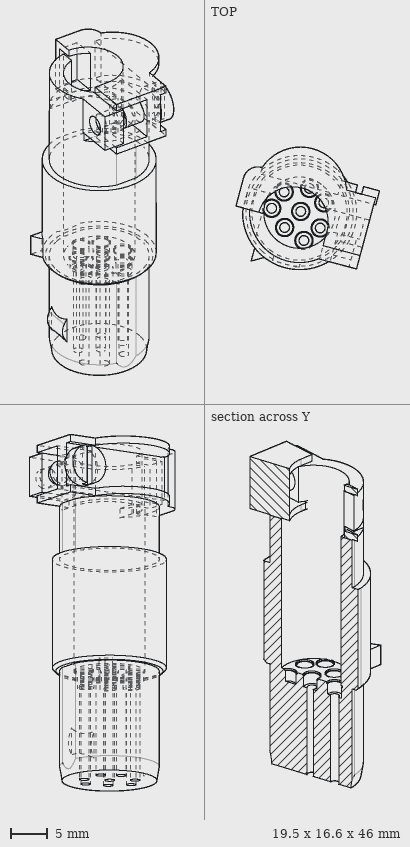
import cadquery as cq
import math

TURN = -15

TOTAL_HEIGHT = 45.95
COLLAR_BOTTOM = 15.15
COLLAR_TOP = 30.7
SHELF_HEIGHT = 37.95
SHELL_TOP = 44.65

BARREL_RADIUS = 6.75
TIP_RADIUS = 6.45
TIP_HEIGHT = 1.95
COLLAR_RADIUS = 7.7
COLLAR_CHAMFER = 0.45
BARREL_FLAT = 6.55
COLLAR_FLAT = 7.5
BORE_RADIUS = 4.82
BORE_FLOOR = COLLAR_BOTTOM

KEY_ANGLE = 225 - TURN
KEY_TIP = 9.3
KEY_BASE = 7.35
KEY_HALF_WIDTH = 1.1
KEY_BOTTOM = 15.75
KEY_HEIGHT = 3.0
LATCH_HEIGHT = 6.45
LATCH_WIDTH = 3.68
LATCH_TIP = 7.2
LATCH_RADIUS = 2.3
LATCH_FLARE = 30
LATCH_DEPTH = 1.4

CONTACT_PLACES = [
    (0.25, 0), (-2.85, 0),
    (0.5, 3.45), (0.5, -3.45),
    (-2.25, 3.1), (-2.25, -3.1),
    (3.25, 1.4), (3.25, -1.4),
]
CONTACT_HOLE_RADIUS = 0.65
CONTACT_SEAT_RADIUS = 1.1
CONTACT_RIM_RADIUS = 1.25
CONTACT_RIM_DEPTH = 0.25
CONTACT_SEAT_DEPTH = 1.85

SHELL_BACK = -1.4
SLOT_TOP = 39.25
SLOT_LEFT = -4.85
LUG_FRONT = -5.38
LUG_THICKNESS = 3.05
LUG_RIGHT = 9.4

PLATE = 1.0
CLAMP_LEFT = -8.55
CLAMP_RIGHT = LUG_RIGHT
CLAMP_BACK = 4.6
CLAMP_LEFT_FRONT = SHELL_BACK
CLAMP_RIGHT_FRONT = -3.5
ARCH_X = -0.55
DOME_Y = 2.57
DOME_RADIUS = 6.25
OPENING_Y = -1.45
OPENING_RADIUS = 4.8
BUMP_RADIUS = 2.0
WEB_INNER = 1.45
WEB_OUTER = 3.68

SCREW_X = 7.05
SCREW_RADIUS = 1.35
SCREW_SHANK_RADIUS = 1.7
SCREW_HEAD_RADIUS = 2.65
SCREW_HEAD_END = 5.65
SCREW_SLOT_WIDTH = 0.85
SCREW_SLOT_DEPTH = 1.1
SCREW_RECESS = 1.0

SLOT_RIGHT = ARCH_X + OPENING_RADIUS
LUG_BOTTOM = SLOT_TOP
DOME_HALF_WIDTH = math.sqrt(DOME_RADIUS**2 - (CLAMP_BACK - DOME_Y) ** 2)
SCREW_Z = (LUG_BOTTOM + SHELL_TOP) / 2
FAR = 27.55


def block(x0, x1, y0, y1, z0, z1):
    """A box between the given planes."""
    return cq.Workplane("XY").box(x1 - x0, y1 - y0, z1 - z0, centered=False).translate((x0, y0, z0))


def cylinder_along_y(radius, y0, y1):
    """A cylinder on the screw's axis."""
    plane = cq.Workplane("XZ", origin=(SCREW_X, y1, SCREW_Z))
    return plane.circle(radius).extrude(y1 - y0)


def make_barrel():
    """The round barrel with its collar; the barrel has two flats, the collar one."""
    barrel = (
        cq.Workplane("XZ")
        .moveTo(0, 0)
        .lineTo(-TIP_RADIUS, 0)
        .lineTo(-BARREL_RADIUS, TIP_HEIGHT)
        .lineTo(-BARREL_RADIUS, SHELL_TOP)
        .lineTo(0, SHELL_TOP)
        .close()
        .revolve(360, (0, 0, 0), (0, 1, 0))
    )
    for x0, x1 in [(-FAR, -BARREL_FLAT), (BARREL_FLAT, FAR)]:
        barrel = barrel.cut(block(x0, x1, -FAR, FAR, 0, SHELF_HEIGHT))
    collar = (
        cq.Workplane("XY", origin=(0, 0, COLLAR_BOTTOM))
        .circle(COLLAR_RADIUS)
        .extrude(COLLAR_TOP - COLLAR_BOTTOM)
        .faces("<Z")
        .chamfer(COLLAR_CHAMFER)
    )
    collar = collar.cut(block(-FAR, -COLLAR_FLAT, -FAR, FAR, COLLAR_BOTTOM, COLLAR_TOP))
    return barrel.union(collar)


def make_key():
    """The pointed key on the collar."""
    return (
        cq.Workplane("XY", origin=(0, 0, KEY_BOTTOM))
        .polyline([(KEY_TIP, 0), (KEY_BASE, KEY_HALF_WIDTH), (KEY_BASE, -KEY_HALF_WIDTH)])
        .close()
        .extrude(KEY_HEIGHT)
        .rotate((0, 0, 0), (0, 0, 1), KEY_ANGLE)
    )


def make_latch():
    """The rounded latch low on the front, its sides flaring into the barrel."""
    flare = math.radians(LATCH_FLARE)
    arc_half = LATCH_RADIUS * math.sin(flare)
    arc_y = -LATCH_TIP + LATCH_RADIUS * (1 - math.cos(flare))
    root_y = -LATCH_TIP + LATCH_DEPTH
    root_half = arc_half + (root_y - arc_y) / math.tan(flare)
    return (
        cq.Workplane("YZ", origin=(-LATCH_WIDTH / 2, 0, LATCH_HEIGHT))
        .moveTo(root_y, -root_half)
        .lineTo(arc_y, -arc_half)
        .threePointArc((-LATCH_TIP, 0), (arc_y, arc_half))
        .lineTo(root_y, root_half)
        .close()
        .extrude(LATCH_WIDTH)
    )


def make_contact_holes():
    """Stepped through holes in the floor of the bore."""
    holes = cq.Workplane("XY")
    steps = [
        (CONTACT_HOLE_RADIUS, BORE_FLOOR),
        (CONTACT_SEAT_RADIUS, CONTACT_SEAT_DEPTH),
        (CONTACT_RIM_RADIUS, CONTACT_RIM_DEPTH),
    ]
    for radius, depth in steps:
        floor = cq.Workplane("XY", origin=(0, 0, BORE_FLOOR))
        holes = holes.union(floor.pushPoints(CONTACT_PLACES).circle(radius).extrude(-depth))
    return holes.rotate((0, 0, 0), (0, 0, 1), KEY_ANGLE + 180)


def make_housing():
    lug = block(0, LUG_RIGHT, LUG_FRONT, LUG_FRONT + LUG_THICKNESS, LUG_BOTTOM, SHELL_TOP)
    housing = make_barrel()
    housing = housing.cut(block(-FAR, FAR, SHELL_BACK, FAR, SHELF_HEIGHT, TOTAL_HEIGHT))
    housing = housing.cut(block(-FAR, SLOT_LEFT, -FAR, FAR, SHELF_HEIGHT, SLOT_TOP))
    housing = housing.cut(block(SLOT_RIGHT, FAR, -FAR, FAR, SHELF_HEIGHT, SLOT_TOP))
    housing = housing.union(lug).union(make_key()).union(make_latch())
    bore = cq.Workplane("XY", origin=(0, 0, BORE_FLOOR)).circle(BORE_RADIUS).extrude(TOTAL_HEIGHT)
    housing = housing.cut(bore).cut(make_contact_holes())
    return housing.cut(cylinder_along_y(SCREW_RADIUS, LUG_FRONT, SHELL_BACK))


def make_clamp_blank():
    """The full-height outline of the clamp, without its opening."""
    bump_x = CLAMP_LEFT + BUMP_RADIUS
    bump_y = CLAMP_BACK - BUMP_RADIUS
    diagonal = BUMP_RADIUS * math.sqrt(0.5)
    return (
        cq.Workplane("XY", origin=(0, 0, SHELF_HEIGHT))
        .moveTo(CLAMP_LEFT, CLAMP_LEFT_FRONT)
        .lineTo(CLAMP_LEFT, bump_y)
        .threePointArc((bump_x - diagonal, bump_y + diagonal), (bump_x, CLAMP_BACK))
        .lineTo(ARCH_X - DOME_HALF_WIDTH, CLAMP_BACK)
        .threePointArc((ARCH_X, DOME_Y + DOME_RADIUS), (ARCH_X + DOME_HALF_WIDTH, CLAMP_BACK))
        .lineTo(CLAMP_RIGHT, CLAMP_BACK)
        .lineTo(CLAMP_RIGHT, CLAMP_RIGHT_FRONT)
        .lineTo(0, CLAMP_RIGHT_FRONT)
        .lineTo(0, CLAMP_LEFT_FRONT)
        .close()
        .extrude(TOTAL_HEIGHT - SHELF_HEIGHT)
    )


def make_opening():
    """The arched opening through the clamp."""
    arch = (
        cq.Workplane("XY", origin=(ARCH_X, OPENING_Y, SHELF_HEIGHT))
        .circle(OPENING_RADIUS)
        .extrude(TOTAL_HEIGHT - SHELF_HEIGHT)
    )
    return arch.union(block(ARCH_X, SLOT_RIGHT, -FAR, OPENING_Y, SHELF_HEIGHT, TOTAL_HEIGHT))


def make_screw():
    """The clamp screw, with a slotted head at the back and its end inside the lug."""
    tip = cylinder_along_y(SCREW_RADIUS, LUG_FRONT + SCREW_RECESS, SHELL_BACK)
    shank = cylinder_along_y(SCREW_SHANK_RADIUS, SHELL_BACK, WEB_OUTER)
    head = cylinder_along_y(SCREW_HEAD_RADIUS, WEB_OUTER, SCREW_HEAD_END)
    half = SCREW_SLOT_WIDTH / 2
    slot_floor = SCREW_HEAD_END - SCREW_SLOT_DEPTH
    slot = block(SCREW_X - half, SCREW_X + half, slot_floor, FAR, 0, TOTAL_HEIGHT)
    return tip.union(shank).union(head.cut(slot))


def make_clamp():
    low = SHELF_HEIGHT + PLATE
    high = TOTAL_HEIGHT - PLATE
    clamp = make_clamp_blank()
    clamp = clamp.cut(block(CLAMP_LEFT + PLATE, FAR, -FAR, WEB_INNER, low, high))
    clamp = clamp.cut(block(ARCH_X - DOME_HALF_WIDTH, FAR, WEB_OUTER, FAR, low, high))
    clamp = clamp.cut(make_opening())
    return clamp.union(make_screw())


housing = make_housing().rotate((0, 0, 0), (0, 0, 1), TURN)
clamp = make_clamp().rotate((0, 0, 0), (0, 0, 1), TURN)

result = cq.Compound.makeCompound([*housing.solids().vals(), *clamp.solids().vals()])